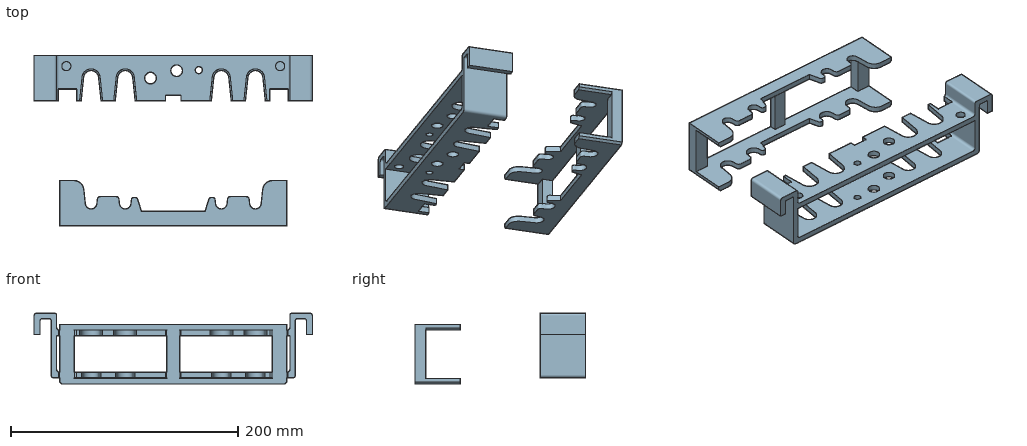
import cadquery as cq
import math

total_depth = 150.0
body_depth = 40.0
plate_thickness = 5.0
frame_front = 0.0
hanger_front = total_depth - body_depth

inner_cable_x = 42.25
outer_cable_x = 72.25
cable_positions = (-outer_cable_x, -inner_cable_x, inner_cable_x, outer_cable_x)
slot_centre_depth = 20.0
slot_draft = math.radians(6.0)

frame_width = 200.0
frame_height = 52.5
wall_depth = 9.5
window_inner_x = 5.75
window_outer_x = 87.0
post_depth = 6.0
end_chamfer = 2.0

upper_notch_radius = 5.0
lower_notch_radius = 6.5
ear_rounding = 9.0
wide_lug_depth = 26.0
wide_lug_rounding = 3.0
upper_small_lug_depth = 25.0
lower_small_lug_depth = 23.5
small_lug_rounding = 2.0
recess_depth = 13.0
recess_half_width = 28.0
recess_slope = math.radians(17.0)

hanger_width = 245.0
hanger_top = 62.5
hanger_bottom = 5.5
hook_thickness = 5.0
hook_leg_thickness = 5.5
hook_gap = 9.5
hook_leg_bottom = 43.5
hook_outer_rounding = 2.5
hook_inner_rounding = 1.5
crown_inner_rounding = 2.0
corner_rounding = 2.5

upper_plate_bottom = frame_height - 2 * plate_thickness
lower_slot_radius = 6.5
upper_slot_radius = 8.0
relief_inner_x = 85.0
relief_outer_x = 101.0
lower_relief_depth = 10.0
upper_relief_depth = 10.75
tongue_notch_width = 13.5
tongue_notch_depth = 4.75

through_holes = ((-20.0, 20.0, 10.0), (3.0, 26.5, 10.0), (22.5, 27.0, 6.0))
end_hole_x = 94.0
end_hole_depth = 30.5
end_hole_diameter = 8.0

hook_outer_x = hanger_width / 2
hook_leg_inner_x = hook_outer_x - hook_leg_thickness
hook_wall_outer_x = hook_leg_inner_x - hook_gap
hook_wall_inner_x = hook_wall_outer_x - hook_thickness


def box(x_range, y_range, z_range):
    """Block between the given limits."""
    limits = (x_range, y_range, z_range)
    lengths = [high - low for low, high in limits]
    corner = tuple(low for low, high in limits)
    return cq.Workplane("XY").box(*lengths, centered=False).translate(corner)


def slot_half_width(radius, depth):
    """Half width of a drafted slot at a depth, for sides that widen away from the round end."""
    return radius / math.cos(slot_draft) + abs(depth - slot_centre_depth) * math.tan(slot_draft)


def drafted_slot(x, radius, y_front, mouth_depth, z_range):
    """Cutter with a round end and straight tangent sides that widen towards the mouth."""
    opening = 1 if mouth_depth > slot_centre_depth else -1
    centre_y = y_front + slot_centre_depth
    tangent_x = radius * math.cos(slot_draft)
    tangent_y = centre_y - opening * radius * math.sin(slot_draft)
    mouth_x = slot_half_width(radius, mouth_depth)
    mouth_y = y_front + mouth_depth
    return (
        cq.Workplane("XY")
        .workplane(offset=z_range[0])
        .moveTo(x - mouth_x, mouth_y)
        .lineTo(x - tangent_x, tangent_y)
        .threePointArc((x, centre_y - opening * radius), (x + tangent_x, tangent_y))
        .lineTo(x + mouth_x, mouth_y)
        .close()
        .extrude(z_range[1] - z_range[0])
    )


def round_corners(plate, x, y, z, radius):
    """Round the mirrored pair of upright plate edges at +X and -X."""
    for side in (-1, 1):
        nearest = cq.selectors.NearestToPointSelector((side * x, y, z))
        plate = plate.edges("|Z").edges(nearest).fillet(radius)
    return plate


def frame_plate(z_bottom, notch_radius, small_lug_depth):
    """Plate whose back edge has ears, lugs, cable notches and a wide central recess."""
    z_range = (z_bottom, z_bottom + plate_thickness)
    z_middle = z_bottom + plate_thickness / 2
    half_width = frame_width / 2

    plate = box((-half_width, half_width), (frame_front, frame_front + body_depth), z_range)

    for limit_x, depth in ((outer_cable_x, wide_lug_depth), (inner_cable_x, small_lug_depth)):
        step = box((-limit_x, limit_x), (frame_front + depth, frame_front + body_depth), z_range)
        plate = plate.cut(step)

    recess_mouth = recess_half_width + (small_lug_depth - recess_depth) * math.tan(recess_slope)
    recess = (
        cq.Workplane("XY")
        .workplane(offset=z_bottom)
        .polyline([
            (-recess_half_width, frame_front + recess_depth),
            (recess_half_width, frame_front + recess_depth),
            (recess_mouth, frame_front + small_lug_depth),
            (-recess_mouth, frame_front + small_lug_depth),
        ])
        .close()
        .extrude(plate_thickness)
    )
    plate = plate.cut(recess)

    for x in cable_positions:
        plate = plate.cut(drafted_slot(x, notch_radius, frame_front, body_depth, z_range))

    ear_x = outer_cable_x + slot_half_width(notch_radius, body_depth)
    wide_lug_side = slot_half_width(notch_radius, wide_lug_depth)
    small_lug_side = slot_half_width(notch_radius, small_lug_depth)
    corners = (
        (ear_x, body_depth, ear_rounding),
        (outer_cable_x - wide_lug_side, wide_lug_depth, wide_lug_rounding),
        (inner_cable_x + wide_lug_side, wide_lug_depth, wide_lug_rounding),
        (inner_cable_x - small_lug_side, small_lug_depth, small_lug_rounding),
        (recess_mouth, small_lug_depth, small_lug_rounding),
    )
    for x, depth, radius in corners:
        plate = round_corners(plate, x, frame_front + depth, z_middle, radius)

    return plate.faces("<X or >X").edges("<Z").chamfer(end_chamfer)


def make_frame():
    """Front wall with two windows, joined to a lower and an upper notched plate."""
    half_width = frame_width / 2
    top_plate_bottom = frame_height - plate_thickness
    wall_y = (frame_front, frame_front + wall_depth)
    window_z = (plate_thickness, top_plate_bottom)
    wall = box((-half_width, half_width), wall_y, (0, frame_height))
    wall = wall.faces("<Z").edges("|Y").chamfer(end_chamfer)
    for x_range in ((-window_outer_x, -window_inner_x), (window_inner_x, window_outer_x)):
        wall = wall.cut(box(x_range, wall_y, window_z))

    post_back_y = (frame_front + post_depth, frame_front + wall_depth)
    wall = wall.cut(box((-window_inner_x, window_inner_x), post_back_y, window_z))

    lower_plate = frame_plate(0, lower_notch_radius, lower_small_lug_depth)
    upper_plate = frame_plate(top_plate_bottom, upper_notch_radius, upper_small_lug_depth)
    return wall.union(lower_plate).union(upper_plate)


def hook():
    """Hook-shaped end wall on the +X side."""
    length_y = (hanger_front, hanger_front + body_depth)
    hook_body = box((hook_wall_inner_x, hook_outer_x), length_y, (hanger_bottom, hanger_top))
    hook_body = hook_body.edges("|Y and >X and >Z").fillet(hook_outer_rounding)
    hook_body = hook_body.edges("|Y and <X and >Z").fillet(crown_inner_rounding)
    under_leg = box((hook_wall_outer_x, hook_outer_x), length_y, (hanger_bottom, hook_leg_bottom))
    gap = box((hook_wall_outer_x, hook_leg_inner_x), length_y, (hanger_bottom, hanger_top - hook_thickness))
    gap = gap.faces(">Z").edges("|Y").fillet(hook_inner_rounding)
    hook_body = hook_body.cut(under_leg).cut(gap)
    lower_corner = cq.selectors.NearestToPointSelector(
        (hook_wall_outer_x, hanger_front + body_depth / 2, hanger_bottom)
    )
    return hook_body.edges("|Y").edges(lower_corner).fillet(hook_outer_rounding)


def corner_strip(z):
    """Concave rounding along the corner between a plate's upper face and the +X hook wall."""
    start_x = hook_wall_inner_x - corner_rounding
    arc_middle = corner_rounding * math.sin(math.radians(45))
    return (
        cq.Workplane("XZ", origin=(0, hanger_front + body_depth, 0))
        .moveTo(start_x, z)
        .lineTo(hook_wall_inner_x, z)
        .lineTo(hook_wall_inner_x, z + corner_rounding)
        .threePointArc(
            (start_x + arc_middle, z + corner_rounding - arc_middle),
            (start_x, z),
        )
        .close()
        .extrude(body_depth)
    )


def round_hole(x, depth, diameter, z_bottom):
    """Cutter for an upright hole through one hanger plate."""
    cutter = cq.Workplane("XY").circle(diameter / 2).extrude(plate_thickness)
    return cutter.translate((x, hanger_front + depth, z_bottom))


def hanger_plate(z_bottom, slot_radius, relief_depth):
    """Plate between the hook walls, with corner strips, front reliefs, cable slots and holes."""
    z_top = z_bottom + plate_thickness
    z_range = (z_bottom, z_top)
    plate = box(
        (-hook_wall_inner_x, hook_wall_inner_x), (hanger_front, hanger_front + body_depth), z_range
    )
    strip = corner_strip(z_top)
    plate = plate.union(strip).union(strip.mirror("YZ"))

    relief = box(
        (relief_inner_x, relief_outer_x),
        (hanger_front, hanger_front + relief_depth),
        (z_bottom, z_top + corner_rounding),
    )
    plate = plate.cut(relief).cut(relief.mirror("YZ"))

    tongue_x = (-tongue_notch_width / 2, tongue_notch_width / 2)
    plate = plate.cut(box(tongue_x, (hanger_front, hanger_front + tongue_notch_depth), z_range))

    for x in cable_positions:
        plate = plate.cut(drafted_slot(x, slot_radius, hanger_front, 0, z_range))
    for x, depth, diameter in through_holes:
        plate = plate.cut(round_hole(x, depth, diameter, z_bottom))
    return plate


def make_hanger():
    """Two slotted plates between mirrored hooks; only the upper plate has end holes."""
    upper_plate = hanger_plate(upper_plate_bottom, upper_slot_radius, upper_relief_depth)
    for x in (-end_hole_x, end_hole_x):
        upper_plate = upper_plate.cut(round_hole(x, end_hole_depth, end_hole_diameter, upper_plate_bottom))
    lower_plate = hanger_plate(hanger_bottom, lower_slot_radius, lower_relief_depth)
    end_hook = hook()
    return upper_plate.union(end_hook).union(end_hook.mirror("YZ")).union(lower_plate)


frame = make_frame()
hanger = make_hanger()

result = cq.Compound.makeCompound([frame.val(), hanger.val()])